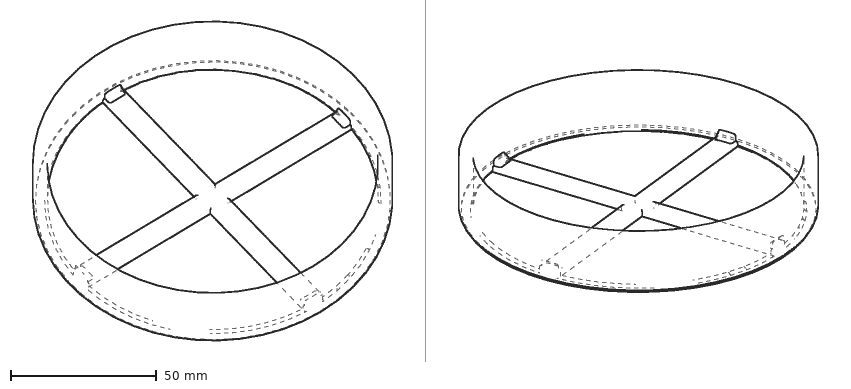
import cadquery as cq

outer_diameter = 123.5
inner_diameter = 113.5
height = 22.0
rim_rounding = 1.0
lip_height = 0.7
lip_inset = 0.9

arm_width = 8.5
arm_thickness = 2.5
arm_rounding = 0.7

gusset_reach = 3.0
gusset_rise = 2.5
gusset_edge_radius = 0.7
wall_overlap = 1.2

inner_radius = inner_diameter / 2
outer_radius = outer_diameter / 2
arm_length = inner_diameter + 2 * wall_overlap
gusset_width = arm_width - 2 * arm_rounding


def make_ring():
    """Tube with rounded rims, standing on a lower lip set in from its outer wall."""
    body = (
        cq.Workplane("XY")
        .workplane(offset=lip_height)
        .circle(outer_radius)
        .extrude(height - lip_height)
        .faces(">Z")
        .edges()
        .fillet(rim_rounding)
        .faces("<Z")
        .edges()
        .fillet(lip_inset)
    )
    lip = cq.Workplane("XY").circle(outer_radius - lip_inset).extrude(lip_height)
    bore = cq.Workplane("XY").circle(inner_radius).extrude(height)
    ring = body.union(lip).cut(bore)
    bore_rims = ring.faces("<Z or >Z").edges(cq.selectors.RadiusNthSelector(0))
    return bore_rims.fillet(rim_rounding)


def make_cross():
    """Two crossing bars with rounded long edges."""
    bar = (
        cq.Workplane("XY")
        .box(arm_length, arm_width, arm_thickness, centered=(True, True, False))
        .edges("|X")
        .fillet(arm_rounding)
    )
    return bar.union(bar.rotate((0, 0, 0), (0, 0, 1), 90))


def make_gusset():
    """Wedge at the +X end of an arm, rounded along the sides of its slope."""
    tip = inner_radius - gusset_reach
    back = inner_radius + wall_overlap
    slope_top = arm_thickness + gusset_rise
    wedge = (
        cq.Workplane("XZ")
        .moveTo(tip, arm_thickness)
        .lineTo(inner_radius, slope_top)
        .lineTo(back, slope_top)
        .lineTo(back, 0)
        .lineTo(tip, 0)
        .close()
        .extrude(gusset_width / 2, both=True)
    )
    slope_middle = (inner_radius - gusset_reach / 2, 0, arm_thickness + gusset_rise / 2)
    side_edges = wedge.faces(cq.NearestToPointSelector(slope_middle)).edges("not |Y")
    return side_edges.fillet(gusset_edge_radius)


result = make_ring().union(make_cross())
gusset = make_gusset()
for angle in (0, 90, 180, 270):
    result = result.union(gusset.rotate((0, 0, 0), (0, 0, 1), angle))